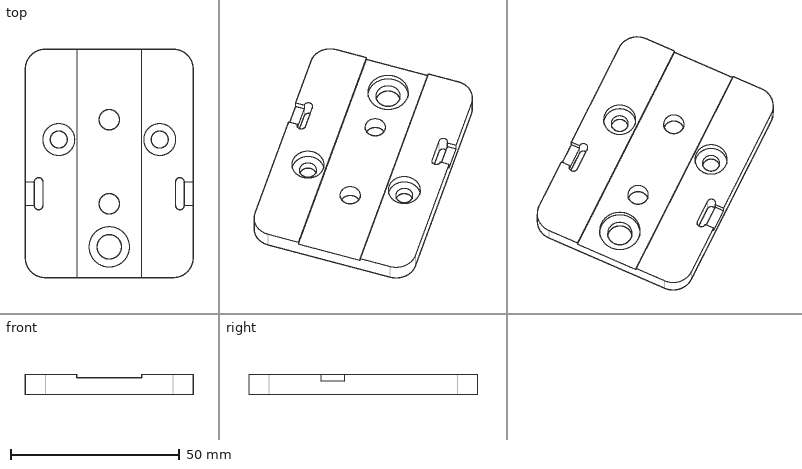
import cadquery as cq

WIDTH = 50.0
LENGTH = 68.0
THICKNESS = 6.0
CORNER_RADIUS = 6.0

CHANNEL_WIDTH = 19.2
CHANNEL_DEPTH = 1.0
CHANNEL_FLOOR_Z = THICKNESS - CHANNEL_DEPTH

PLAIN_HOLE_DIAMETER = 6.0
PLAIN_HOLE_YS = (13.0, -12.0)

CENTRE_SCREW_Y = -24.8
CENTRE_SCREW_DIAMETER = 7.2
CENTRE_SCREW_HEAD_DIAMETER = 12.0
CENTRE_SCREW_HEAD_DEPTH = 2.0

SIDE_SCREW_X = 15.0
SIDE_SCREW_Y = 7.1
SIDE_SCREW_DIAMETER = 5.01
SIDE_SCREW_HEAD_DIAMETER = 9.5
SIDE_SCREW_HEAD_DEPTH = 3.0

SLOT_X = 21.0
SLOT_Y = -9.0
SLOT_WIDTH = 2.5
SLOT_LENGTH = 9.5
NOTCH_WIDTH = 7.0
NOTCH_DEPTH = 2.0


def make_plate():
    plate = cq.Workplane("XY").rect(WIDTH, LENGTH).extrude(THICKNESS)
    return plate.edges("|Z").fillet(CORNER_RADIUS)


def make_channel():
    return (
        cq.Workplane("XY")
        .workplane(offset=CHANNEL_FLOOR_Z)
        .rect(CHANNEL_WIDTH, LENGTH)
        .extrude(CHANNEL_DEPTH)
    )


def make_hole(x, y, diameter):
    return cq.Workplane("XY").center(x, y).circle(diameter / 2).extrude(THICKNESS)


def make_counterbored_hole(x, y, diameter, head_diameter, head_floor_z):
    head = (
        cq.Workplane("XY")
        .workplane(offset=head_floor_z)
        .center(x, y)
        .circle(head_diameter / 2)
        .extrude(THICKNESS - head_floor_z)
    )
    return make_hole(x, y, diameter).union(head)


def make_strap_slot(side):
    """Through slot plus the notch from it to the plate edge; side is -1 or 1."""
    slot = (
        cq.Workplane("XY")
        .center(side * SLOT_X, SLOT_Y)
        .slot2D(SLOT_LENGTH, SLOT_WIDTH, 90)
        .extrude(THICKNESS)
    )
    notch_length = WIDTH / 2 - SLOT_X
    notch = (
        cq.Workplane("XY")
        .workplane(offset=THICKNESS - NOTCH_DEPTH)
        .center(side * (SLOT_X + notch_length / 2), SLOT_Y)
        .rect(notch_length, NOTCH_WIDTH)
        .extrude(NOTCH_DEPTH)
    )
    return slot.union(notch)


result = make_plate().cut(make_channel())

for hole_y in PLAIN_HOLE_YS:
    result = result.cut(make_hole(0, hole_y, PLAIN_HOLE_DIAMETER))

result = result.cut(
    make_counterbored_hole(
        0,
        CENTRE_SCREW_Y,
        CENTRE_SCREW_DIAMETER,
        CENTRE_SCREW_HEAD_DIAMETER,
        CHANNEL_FLOOR_Z - CENTRE_SCREW_HEAD_DEPTH,
    )
)

for side in (-1, 1):
    result = result.cut(
        make_counterbored_hole(
            side * SIDE_SCREW_X,
            SIDE_SCREW_Y,
            SIDE_SCREW_DIAMETER,
            SIDE_SCREW_HEAD_DIAMETER,
            THICKNESS - SIDE_SCREW_HEAD_DEPTH,
        )
    )
    result = result.cut(make_strap_slot(side))